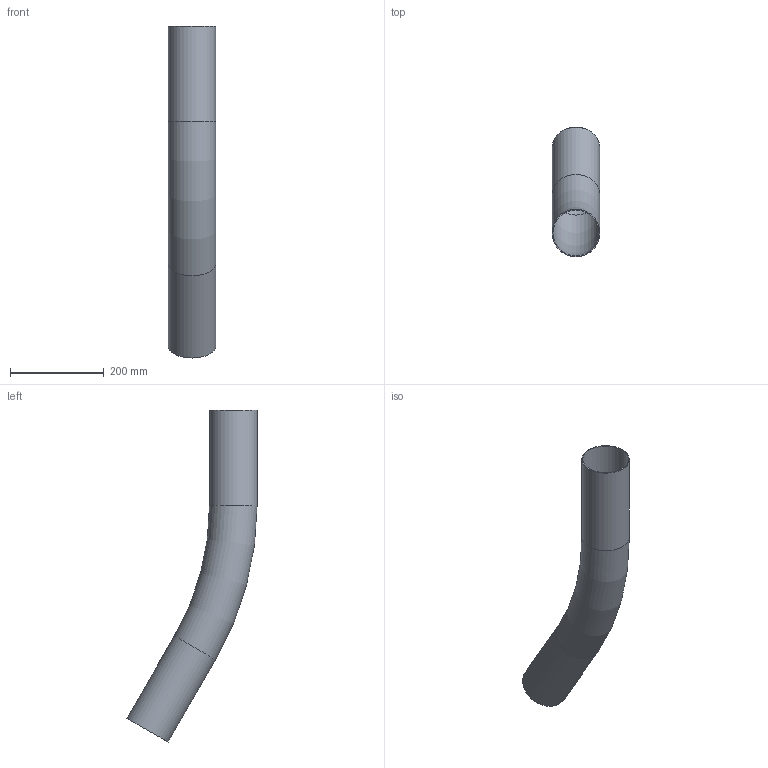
import cadquery as cq
import math

outer_diameter = 101.6
inner_diameter = 98.4

leg_length = 2 * outer_diameter
bend_radius = 6 * outer_diameter
bend_angle = 30.0


def centreline_point(angle):
    """Point (Y, Z) on the bend centreline, at an angle in degrees past the upper leg."""
    turn = math.radians(angle)
    return (bend_radius * (1 - math.cos(turn)), -bend_radius * math.sin(turn))


def bend_centreline():
    """Path in the YZ plane, down the upper leg and then swinging towards +Y."""
    bend_middle = centreline_point(bend_angle / 2)
    bend_end = centreline_point(bend_angle)
    turn = math.radians(bend_angle)
    lower_end = (
        bend_end[0] + leg_length * math.sin(turn),
        bend_end[1] - leg_length * math.cos(turn),
    )
    return (
        cq.Workplane("YZ")
        .moveTo(0, leg_length)
        .lineTo(0, 0)
        .threePointArc(bend_middle, bend_end)
        .lineTo(*lower_end)
    )


def bent_tube():
    """Sweep the ring section along the centreline, open at both ends."""
    ring = (
        cq.Workplane("XY", origin=(0, 0, leg_length))
        .circle(outer_diameter / 2)
        .circle(inner_diameter / 2)
    )
    return ring.sweep(bend_centreline())


result = bent_tube()